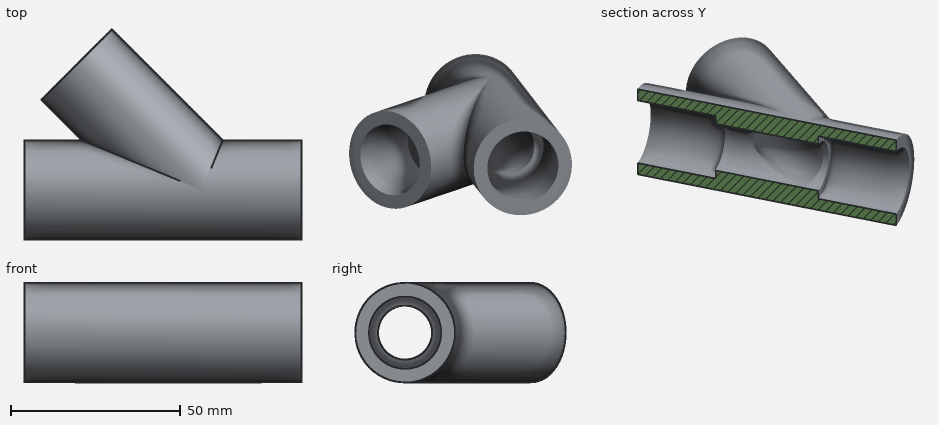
import cadquery as cq

run_length = 81.8
outer_diameter = 29.4
socket_diameter = 21.3
bore_diameter = 15.9
socket_depth = 24.5
branch_origin_x = 52.4
branch_length = 52.3

run_start = cq.Vector(0, 0, 0)
run_end = cq.Vector(run_length, 0, 0)
run_direction = cq.Vector(1, 0, 0)
branch_start = cq.Vector(branch_origin_x, 0, 0)
branch_direction = cq.Vector(-1, 1, 0).normalized()
branch_end = branch_start + branch_direction * branch_length


def cylinder(diameter, length, start, direction):
    return cq.Workplane(cq.Solid.makeCylinder(diameter / 2, length, start, direction))


body = cylinder(outer_diameter, run_length, run_start, run_direction).union(
    cylinder(outer_diameter, branch_length, branch_start, branch_direction)
)

body = body.cut(cylinder(bore_diameter, run_length, run_start, run_direction))
body = body.cut(cylinder(bore_diameter, branch_length, branch_start, branch_direction))

sockets = [
    (run_start, run_direction),
    (run_end, run_direction * -1),
    (branch_end, branch_direction * -1),
]
for opening, inward in sockets:
    body = body.cut(cylinder(socket_diameter, socket_depth, opening, inward))

result = body